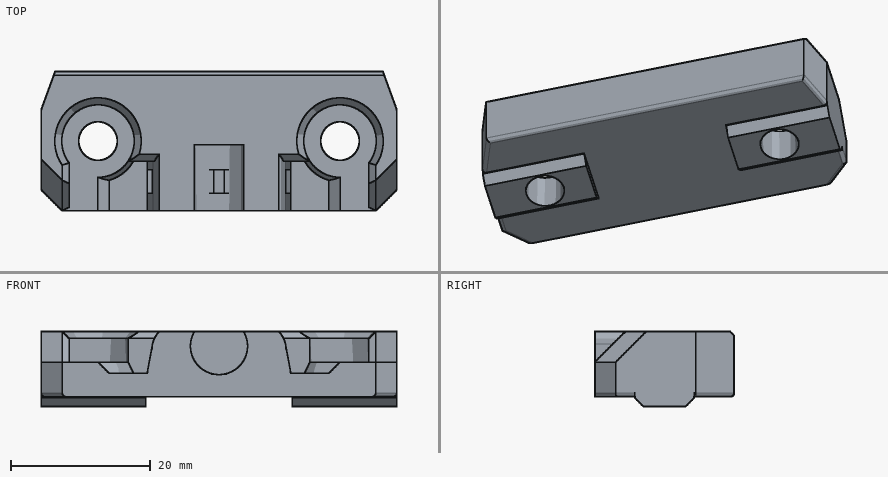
import math

import cadquery as cq

LENGTH = 51.0
WIDTH = 20.0
HEIGHT = 9.4
BACK_CORNER_X = 2.0
BACK_CORNER_Y = 5.5
FRONT_CORNER = 3.0
BACK_TOP_CHAMFER = 0.6
BOTTOM_EDGE = 0.6

RAIL_LENGTH = 15.0
RAIL_WIDTH = 8.5
RAIL_DROP = 1.4
RAIL_CHAMFER = 1.25

HOLE_X = 17.35
HOLE_DIAMETER = 5.5
BORE_DIAMETER = 10.4
BORE_DEPTH = 4.4
TOP_CHAMFER = 1.0
NOTCH_OUTER_X = 21.5
FLARE_SETBACK = 0.5

POCKET_DEPTH = 6.0
POCKET_BACK_Y = -2.9
POCKET_WALL_X = 10.3
POCKET_RAMP = POCKET_DEPTH - BORE_DEPTH
BORE_SKIRT = 0.65

STRAP_BEND_X = 6.0
STRAP_BEND_DEPTH = 2.53
STRAP_INNER_RADIUS = 3.6
STRAP_OUTER_RADIUS = 5.4
STRAP_WIDTH = 3.3
STRAP_CENTER_Y = -5.8
STRAP_WALL_TOP_DEPTH = 1.8

GROOVE_RADIUS = 4.1
GROOVE_AXIS_DEPTH = 2.1
GROOVE_END_Y = -0.55

END_X = LENGTH / 2
BACK_Y = WIDTH / 2
FRONT_Y = -WIDTH / 2
BORE_RADIUS = BORE_DIAMETER / 2
BORE_FLOOR = HEIGHT - BORE_DEPTH
POCKET_FLOOR = HEIGHT - POCKET_DEPTH
STRAP_BEND_Z = HEIGHT - STRAP_BEND_DEPTH
CLEARANCE = 1.0


def prism_to_front(points, back_y):
    """XZ outline swept along Y from back_y to the front face."""
    outline = cq.Workplane("XZ", origin=(0, back_y, 0)).polyline(points).close()
    return outline.extrude(back_y - FRONT_Y)


def make_body():
    outline = [
        (-END_X + FRONT_CORNER, FRONT_Y),
        (END_X - FRONT_CORNER, FRONT_Y),
        (END_X, FRONT_Y + FRONT_CORNER),
        (END_X, BACK_Y - BACK_CORNER_Y),
        (END_X - BACK_CORNER_X, BACK_Y),
        (-END_X + BACK_CORNER_X, BACK_Y),
        (-END_X, BACK_Y - BACK_CORNER_Y),
        (-END_X, FRONT_Y + FRONT_CORNER),
    ]
    body = cq.Workplane("XY").polyline(outline).close().extrude(HEIGHT)
    body = body.faces(">Y").edges(">Z").chamfer(BACK_TOP_CHAMFER)
    return body.faces("<Z").edges("not <Y").fillet(BOTTOM_EDGE)


def make_rail():
    """Left rail, reaching up far enough to fill the rounded lower edge at the end face."""
    half_width = RAIL_WIDTH / 2
    half_foot = half_width - RAIL_CHAMFER
    chamfer_top = RAIL_CHAMFER - RAIL_DROP
    profile = [
        (-half_width, BOTTOM_EDGE),
        (-half_width, chamfer_top),
        (-half_foot, -RAIL_DROP),
        (half_foot, -RAIL_DROP),
        (half_width, chamfer_top),
        (half_width, BOTTOM_EDGE),
    ]
    return cq.Workplane("YZ", origin=(-END_X, 0, 0)).polyline(profile).close().extrude(RAIL_LENGTH)


def make_front_corner_cut():
    """Slope on top of the left front corner and the narrow flare beside the front opening.

    Both faces rise at 45 degrees towards +Y, so each higher section is shifted back by its rise.
    """
    front = FRONT_Y - CLEARANCE

    def section(rise):
        return [
            (-END_X, front),
            (-NOTCH_OUTER_X, front),
            (-NOTCH_OUTER_X, FRONT_Y + FLARE_SETBACK + rise),
            (-END_X + FRONT_CORNER, FRONT_Y + rise),
            (-END_X, FRONT_Y + FRONT_CORNER + rise),
        ]

    lower = cq.Workplane("XY", origin=(0, 0, BORE_FLOOR)).polyline(section(0)).close()
    upper = lower.workplane(offset=BORE_DEPTH).polyline(section(BORE_DEPTH)).close()
    return upper.loft(ruled=True)


def make_screw_cut():
    """Through hole, counterbore and its chamfered rim at the left end."""
    hole_radius = HOLE_DIAMETER / 2
    hole_bottom = -RAIL_DROP - CLEARANCE
    profile = [
        (0, hole_bottom),
        (hole_radius, hole_bottom),
        (hole_radius, BORE_FLOOR),
        (BORE_RADIUS, BORE_FLOOR),
        (BORE_RADIUS, HEIGHT - TOP_CHAMFER),
        (BORE_RADIUS + TOP_CHAMFER, HEIGHT),
        (0, HEIGHT),
    ]
    cut = cq.Workplane("XZ").polyline(profile).close().revolve(360, (0, 0), (0, 1))
    return cut.translate((-HOLE_X, 0, 0))


def make_front_opening_cut():
    """Opening from the left counterbore to the front, at the level of the bore floor."""
    profile = [
        (-HOLE_X, BORE_FLOOR),
        (-NOTCH_OUTER_X, BORE_FLOOR),
        (-NOTCH_OUTER_X, HEIGHT - TOP_CHAMFER),
        (-NOTCH_OUTER_X - TOP_CHAMFER, HEIGHT),
        (-HOLE_X, HEIGHT),
    ]
    wall_offset = NOTCH_OUTER_X - HOLE_X
    back_y = -math.sqrt(BORE_RADIUS**2 - wall_offset**2)
    return prism_to_front(profile, back_y)


def strap_bend_x(z):
    """X of the outer side of the left inner strap bend at height z."""
    return -STRAP_BEND_X - math.sqrt(STRAP_INNER_RADIUS**2 - (z - STRAP_BEND_Z) ** 2)


def make_pocket_cut():
    """Pocket between the left counterbore and the groove, open to the top and the front."""
    wall_top = HEIGHT - STRAP_WALL_TOP_DEPTH
    arc_middle = (wall_top + HEIGHT) / 2
    profile = (
        cq.Workplane("XZ", origin=(0, POCKET_BACK_Y + TOP_CHAMFER, 0))
        .moveTo(-HOLE_X, BORE_FLOOR)
        .lineTo(-HOLE_X + POCKET_RAMP, POCKET_FLOOR)
        .lineTo(-POCKET_WALL_X, POCKET_FLOOR)
        .lineTo(strap_bend_x(wall_top), wall_top)
        .threePointArc((strap_bend_x(arc_middle), arc_middle), (strap_bend_x(HEIGHT), HEIGHT))
        .lineTo(-HOLE_X, HEIGHT)
        .close()
    )
    pocket = profile.extrude(POCKET_BACK_Y + TOP_CHAMFER - FRONT_Y)
    back_wall = [
        (FRONT_Y, POCKET_FLOOR),
        (POCKET_BACK_Y, POCKET_FLOOR),
        (POCKET_BACK_Y, HEIGHT - TOP_CHAMFER),
        (POCKET_BACK_Y + TOP_CHAMFER, HEIGHT),
        (FRONT_Y, HEIGHT),
    ]
    side_section = cq.Workplane("YZ", origin=(-END_X, 0, 0)).polyline(back_wall).close()
    pocket = pocket.intersect(side_section.extrude(END_X))
    skirt_base = cq.Vector(-HOLE_X, 0, POCKET_FLOOR)
    skirt = cq.Solid.makeCone(BORE_RADIUS + BORE_SKIRT, BORE_RADIUS, POCKET_RAMP, skirt_base)
    return pocket.cut(cq.Workplane(skirt))


def make_groove_cut():
    axis = cq.Workplane("XZ", origin=(0, GROOVE_END_Y, HEIGHT - GROOVE_AXIS_DEPTH))
    return axis.circle(GROOVE_RADIUS).extrude(GROOVE_END_Y - FRONT_Y)


def strap_loop(radius):
    """Round-ended loop around both strap bends."""
    plane = cq.Workplane("XZ", origin=(0, STRAP_CENTER_Y + STRAP_WIDTH / 2, STRAP_BEND_Z))
    return plane.slot2D(2 * (STRAP_BEND_X + radius), 2 * radius).extrude(STRAP_WIDTH)


def make_strap_cut():
    """Gap between two concentric loops; its upper half lies in open space."""
    return strap_loop(STRAP_OUTER_RADIUS).cut(strap_loop(STRAP_INNER_RADIUS))


left_cuts = [
    make_front_corner_cut(),
    make_screw_cut(),
    make_front_opening_cut(),
    make_pocket_cut(),
]
rail = make_rail()

result = make_body().union(rail).union(rail.mirror("YZ"))
for left_cut in left_cuts:
    result = result.cut(left_cut).cut(left_cut.mirror("YZ"))
result = result.cut(make_groove_cut()).cut(make_strap_cut())